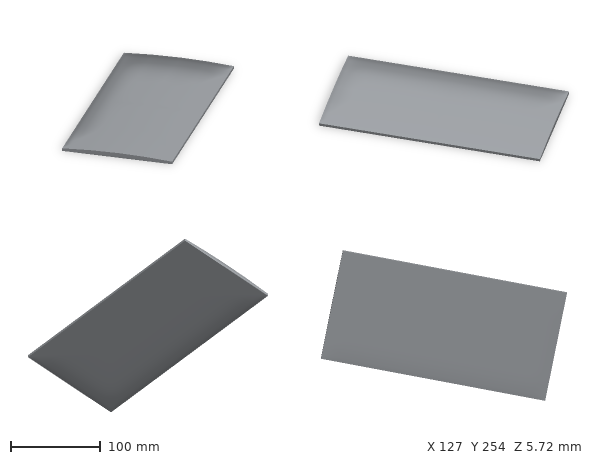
import cadquery as cq

width = 127.0
length = 254.0
edge_height = 3.175
crown_rise = 2.54

half_width = width / 2
crown_height = edge_height + crown_rise


def crowned_section():
    """Cross-section in the XZ plane: flat base, short vertical edges and a smooth crowned top."""
    crown = (0, crown_height)
    right_edge = (half_width, edge_height)
    return (
        cq.Workplane("XZ", origin=(0, length / 2, 0))
        .moveTo(half_width, 0)
        .lineTo(-half_width, 0)
        .lineTo(-half_width, edge_height)
        .spline([crown, right_edge], includeCurrent=True)
        .close()
    )


result = crowned_section().extrude(length)